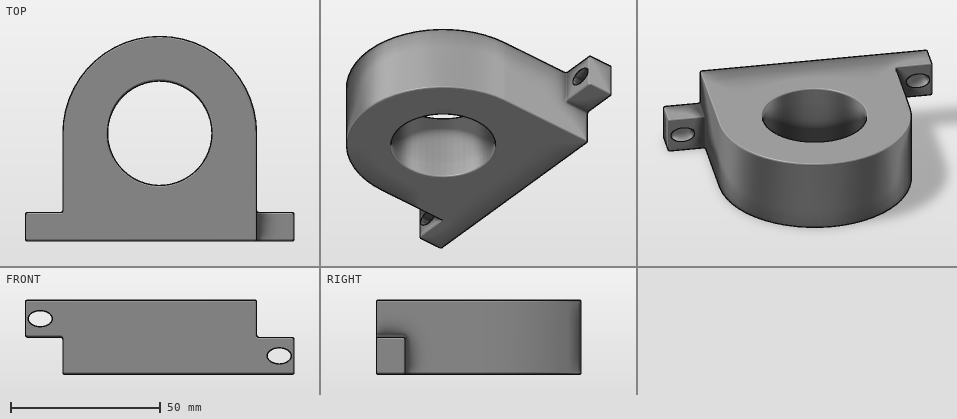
import cadquery as cq

length = 89.9
depth = 68.6
height = 24.9

body_width = 64.9
body_radius = body_width / 2
bore_radius = 17.4
bore_center_y = depth - body_radius

tab_depth = 9.6
tab_height = height / 2
tab_length = (length - body_width) / 2

hole_width = 8.0
hole_height = 5.3
hole_edge_distance = 4.95

edge_radius = 0.7


def make_body():
    """Block with a round back, centred on X with its front face at y = 0."""
    return (
        cq.Workplane("XY")
        .moveTo(-body_radius, 0)
        .lineTo(body_radius, 0)
        .lineTo(body_radius, bore_center_y)
        .threePointArc((0, depth), (-body_radius, bore_center_y))
        .close()
        .extrude(height)
    )


def make_tab(x_start, z_bottom):
    """Half-height tab along the front face of the body."""
    return (
        cq.Workplane("XY")
        .box(tab_length, tab_depth, tab_height, centered=False)
        .translate((x_start, 0, z_bottom))
    )


def make_bore():
    """Round bore running the full height of the body."""
    return cq.Workplane("XY").center(0, bore_center_y).circle(bore_radius).extrude(height)


def make_hole(x, z):
    """Elliptical hole running through a tab along Y."""
    return (
        cq.Workplane("XZ")
        .center(x, z)
        .ellipse(hole_width / 2, hole_height / 2)
        .extrude(-tab_depth)
    )


upper_tab = make_tab(-length / 2, height - tab_height)
lower_tab = make_tab(body_radius, 0)
block = make_body().union(upper_tab).union(lower_tab).cut(make_bore())

smooth_joints = cq.selectors.BoxSelector(
    (-length, bore_center_y - edge_radius, edge_radius),
    (length, bore_center_y + edge_radius, height - edge_radius),
)
result = block.edges(cq.selectors.InverseSelector(smooth_joints)).fillet(edge_radius)

hole_x = length / 2 - hole_edge_distance
result = result.cut(make_hole(-hole_x, height - tab_height / 2))
result = result.cut(make_hole(hole_x, tab_height / 2))